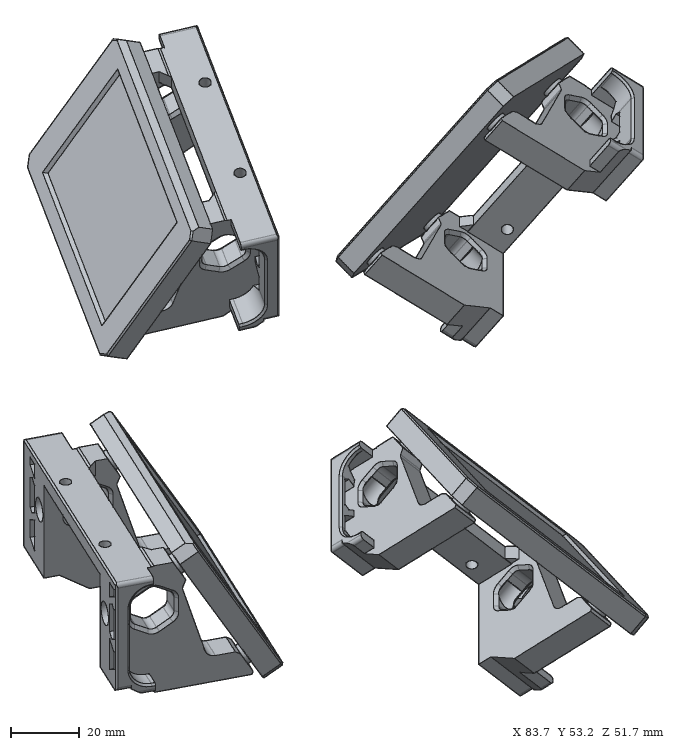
import cadquery as cq
import math

TILT = 30.0

CASE_WIDTH = 79.4
CASE_HEIGHT = 56.9
CASE_DEPTH = 7.1
CASE_BACK_Y = -47.3
CASE_TOP_Z = 51.7
CORNER_CHAMFER = 3.0
RIM_CHAMFER = 0.5

WINDOW_CENTER_X = 0.2
WINDOW_WIDTH = 60.2
WINDOW_HEIGHT = 45.7
WINDOW_BOTTOM = 5.7
WINDOW_BEVEL = 1.0
SCREEN_THICKNESS = 2.0

SPACER_DIAMETER = 6.5
SPACER_THICKNESS = 1.3
SPACER_EDGE_DISTANCE = 7.95

BRACKET_WIDTH = 83.7
BRACKET_TOP = 45.2
BACK_CHAMFER = 0.6
PLATE_DEPTH = 12.9
PLATE_THICKNESS = 5.0

SCREW_DIAMETER = 3.5
SCREW_Y = -4.1
SCREW_SPACING = 35.5

LEGS_CENTER_X = -2.3
LEGS_WIDTH = 67.6
LEG_THICKNESS = 8.5
LEG_TOP = 45.4
LEG_RAMP_LENGTH = 0.75
LEG_BOTTOM = 1.6
LEG_SLOPE_START_Y = -14.05
LEG_BACK_BOTTOM = 8.1
LEG_SLOPE_END_Y = -4.8
LEG_TOP_FRONT_Y = -19.5
LEG_BOTTOM_FRONT_Y = -43.85
LEG_FOOT_TOP = 10.5
LEG_FOOT_CHAMFER_Y = -38.7
LEG_WAIST_HIGH = (-22.4, 35.9)
LEG_WAIST_LOW = (-30.1, LEG_FOOT_TOP)
WAIST_HIGH_ROUND = 1.25
WAIST_LOW_ROUND = 3.35
PAD_HALF_LENGTH = 3.7
PAD_EXTRA = 0.5
GUSSET_SIZE = 2.9

HEX_Y = -13.55
HEX_Z = 30.3
HEX_FLATS = 13.3
HEX_ROUND = 2.5
HEX_CHAMFER = 1.1

FLANGE_EDGE_ROUND = 1.25
UPPER_TAB_FRONT_Y = -11.6
UPPER_TAB_THICKNESS = 2.8
LOWER_TAB_FRONT_Y = -12.2
LOWER_TAB_BOTTOM = 5.5
LOWER_TAB_THICKNESS = 2.9
FLANGE_WALL = 4.35
RECESS_ROUND = 6.7
RECESS_CHAMFER = 0.7

CELL_FLATS = 10.55
CELL_ROW_RISE = 12.55
CELL_STAGGER = 3.6
FRAME_WALL = 1.8

ACCESS_DIAMETER = 6.5
ACCESS_LENGTH = 20.1

SIN_TILT = math.sin(math.radians(TILT))
COS_TILT = math.cos(math.radians(TILT))
COS_30 = math.cos(math.radians(30))
RECESS_TOP = BRACKET_TOP - UPPER_TAB_THICKNESS
RECESS_BOTTOM = LOWER_TAB_BOTTOM + LOWER_TAB_THICKNESS
LEG_LEFT_X = LEGS_CENTER_X - LEGS_WIDTH / 2


def case_plane():
    """Plane on the back of the case: origin at its lower edge, normal pointing out of the screen."""
    return cq.Plane(
        origin=(0, CASE_BACK_Y, 0),
        xDir=(1, 0, 0),
        normal=(0, -COS_TILT, SIN_TILT),
    )


def tilted_point(height, outward):
    """(Y, Z) of a point given by its height along the case and its distance outward of its back."""
    y = CASE_BACK_Y + height * SIN_TILT - outward * COS_TILT
    z = height * COS_TILT + outward * SIN_TILT
    return y, z


def box_between(x_range, y_range, z_range):
    """Box given by its limits along X, Y and Z."""
    size = [limits[1] - limits[0] for limits in (x_range, y_range, z_range)]
    corner = (x_range[0], y_range[0], z_range[0])
    return cq.Workplane("XY").box(*size, centered=False).translate(corner)


def side_profile(points, x_start, x_length):
    """Closed (Y, Z) outline extruded along +X from x_start."""
    return cq.Workplane("YZ").workplane(offset=x_start).polyline(points).close().extrude(x_length)


def on_both_legs(shape):
    """Shape at the left leg together with its mirror image at the right leg."""
    return shape.union(shape.mirror("YZ", (LEGS_CENTER_X, 0, 0)))



SCREEN_WIDTH = WINDOW_WIDTH - 2 * WINDOW_BEVEL
SCREEN_HEIGHT = WINDOW_HEIGHT - 2 * WINDOW_BEVEL
WINDOW_CENTER_V = WINDOW_BOTTOM + WINDOW_HEIGHT / 2


def make_screen():
    back = CASE_DEPTH - WINDOW_BEVEL - SCREEN_THICKNESS
    return (
        cq.Workplane(case_plane())
        .workplane(offset=back)
        .center(WINDOW_CENTER_X, WINDOW_CENTER_V)
        .rect(SCREEN_WIDTH, SCREEN_HEIGHT)
        .extrude(SCREEN_THICKNESS)
    )


def make_case(screen):
    case = (
        cq.Workplane(case_plane())
        .center(0, CASE_HEIGHT / 2)
        .rect(CASE_WIDTH, CASE_HEIGHT)
        .extrude(CASE_DEPTH)
        .edges(cq.selectors.ParallelDirSelector(case_plane().zDir))
        .chamfer(CORNER_CHAMFER)
        .faces(cq.selectors.DirectionMinMaxSelector(case_plane().zDir))
        .edges()
        .chamfer(RIM_CHAMFER)
    )
    above_top = box_between(
        (-CASE_WIDTH, CASE_WIDTH), (-CASE_HEIGHT, 0), (CASE_TOP_Z, CASE_TOP_Z + CASE_DEPTH)
    )
    window = (
        cq.Workplane(case_plane())
        .workplane(offset=CASE_DEPTH)
        .center(WINDOW_CENTER_X, WINDOW_CENTER_V)
        .rect(WINDOW_WIDTH, WINDOW_HEIGHT)
        .workplane(offset=-WINDOW_BEVEL)
        .rect(SCREEN_WIDTH, SCREEN_HEIGHT)
        .loft()
    )
    return case.cut(above_top).cut(window).cut(screen)



LEG_MIDDLE_X = LEG_LEFT_X + LEG_THICKNESS / 2
SPACER_XS = (LEG_MIDDLE_X, 2 * LEGS_CENTER_X - LEG_MIDDLE_X)
SPACER_HEIGHTS = (SPACER_EDGE_DISTANCE, CASE_HEIGHT - SPACER_EDGE_DISTANCE)


def make_spacer(x, height):
    return (
        cq.Workplane(case_plane())
        .center(x, height)
        .circle(SPACER_DIAMETER / 2)
        .extrude(-SPACER_THICKNESS)
    )




def make_leg():
    """Left leg: an upright plate with two pads parallel to the back of the case."""
    lower_pad, upper_pad = SPACER_HEIGHTS
    face = -SPACER_THICKNESS
    upper_pad_top = tilted_point(upper_pad + PAD_HALF_LENGTH, face)
    upper_pad_bottom = tilted_point(upper_pad - PAD_HALF_LENGTH, face)
    lower_pad_top = tilted_point(lower_pad + PAD_HALF_LENGTH, face)
    lower_pad_bottom = tilted_point(lower_pad - PAD_HALF_LENGTH - PAD_EXTRA, face)
    outline = [
        (0, BRACKET_TOP),
        (-PLATE_DEPTH, BRACKET_TOP),
        (-PLATE_DEPTH - LEG_RAMP_LENGTH, LEG_TOP),
        (LEG_TOP_FRONT_Y, LEG_TOP),
        upper_pad_top,
        upper_pad_bottom,
        LEG_WAIST_HIGH,
        LEG_WAIST_LOW,
        (LEG_FOOT_CHAMFER_Y, LEG_FOOT_TOP),
        lower_pad_top,
        lower_pad_bottom,
        (LEG_BOTTOM_FRONT_Y, LEG_BOTTOM),
        (LEG_SLOPE_START_Y, LEG_BOTTOM),
        (LEG_SLOPE_END_Y, LEG_BACK_BOTTOM),
        (0, LEG_BACK_BOTTOM),
    ]
    leg = side_profile(outline, LEG_LEFT_X, LEG_THICKNESS)
    leg = leg.edges(cq.NearestToPointSelector((LEG_MIDDLE_X, *LEG_WAIST_LOW))).fillet(WAIST_LOW_ROUND)
    leg = leg.edges(cq.NearestToPointSelector((LEG_MIDDLE_X, *LEG_WAIST_HIGH))).fillet(WAIST_HIGH_ROUND)
    wide_leg = side_profile(outline, LEG_LEFT_X, LEG_THICKNESS + GUSSET_SIZE)
    gusset = make_gusset().intersect(wide_leg)
    return cut_hex_opening(leg).cut(make_access_hole(upper_pad)).union(gusset)


def upright_hexagon(plane, flats):
    """Workplane holding a hexagon with a corner at the top, centred on the plane."""
    return plane.transformed(rotate=(0, 0, 90)).polygon(6, flats / COS_30)


def cut_hex_opening(leg):
    """Cut a hexagonal passage with rounded corners and chamfer its mouth on both sides."""
    center = cq.Workplane("YZ", origin=(LEG_LEFT_X, HEX_Y, HEX_Z))
    opening = upright_hexagon(center, HEX_FLATS).extrude(LEG_THICKNESS).edges("|X").fillet(HEX_ROUND)
    reach = HEX_FLATS / 2 + HEX_CHAMFER
    around_opening = cq.selectors.BoxSelector(
        (-BRACKET_WIDTH, HEX_Y - reach, HEX_Z - reach), (0, HEX_Y + reach, HEX_Z + reach)
    )
    return leg.cut(opening).faces("|X").edges(around_opening).chamfer(HEX_CHAMFER)


def make_access_hole(pad_height):
    """Cylinder square to the case, from inside the hexagonal opening out through the back."""
    hex_center_depth = (HEX_Y - CASE_BACK_Y) * COS_TILT - HEX_Z * SIN_TILT
    return (
        cq.Workplane(case_plane())
        .workplane(offset=-hex_center_depth)
        .center(LEG_MIDDLE_X, pad_height)
        .circle(ACCESS_DIAMETER / 2)
        .extrude(-ACCESS_LENGTH)
    )


def make_gusset():
    """Triangular web in the corner between the inner face of the leg and the front of the plate."""
    inner_x = LEG_LEFT_X + LEG_THICKNESS
    return (
        cq.Workplane("XY")
        .workplane(offset=LEG_TOP - PLATE_THICKNESS)
        .polyline(
            [
                (inner_x, -PLATE_DEPTH),
                (inner_x + GUSSET_SIZE, -PLATE_DEPTH),
                (inner_x, -PLATE_DEPTH - GUSSET_SIZE),
            ]
        )
        .close()
        .extrude(PLATE_THICKNESS)
    )


def make_flange(width):
    """Left C-shaped flange whose inner side lies against the outer face of the left leg."""
    outer_x = LEG_LEFT_X - width
    x_range = (outer_x, LEG_LEFT_X)
    wall = box_between(x_range, (UPPER_TAB_FRONT_Y, 0), (LEG_BACK_BOTTOM, BRACKET_TOP))
    wall = wall.edges("|Y and <X").fillet(FLANGE_EDGE_ROUND)
    lower_tab = box_between(
        x_range,
        (LOWER_TAB_FRONT_Y, LEG_SLOPE_END_Y),
        (LOWER_TAB_BOTTOM, LEG_BACK_BOTTOM + FLANGE_EDGE_ROUND),
    )
    lower_tab = lower_tab.edges("|Y and <X and <Z").fillet(FLANGE_EDGE_ROUND)
    below_slope = side_profile(
        [
            (LEG_SLOPE_END_Y, LEG_BACK_BOTTOM),
            (LEG_SLOPE_START_Y, LEG_BOTTOM),
            (LEG_SLOPE_END_Y, LEG_BOTTOM),
        ],
        outer_x,
        width,
    )
    end_bevel = (
        cq.Workplane("XY")
        .polyline([(outer_x, 0), (outer_x + BACK_CHAMFER, 0), (outer_x, -BACK_CHAMFER)])
        .close()
        .extrude(BRACKET_TOP)
    )
    flange = wall.union(lower_tab).cut(make_recess(outer_x, width))
    return flange.cut(below_slope).cut(end_bevel).cut(make_honeycomb())


def make_recess(outer_x, width):
    """Open-fronted recess with round back corners and a chamfered outer rim."""
    front_y = 2 * LOWER_TAB_FRONT_Y
    middle = ((front_y - FLANGE_WALL) / 2, (RECESS_BOTTOM + RECESS_TOP) / 2)
    size = (-FLANGE_WALL - front_y, RECESS_TOP - RECESS_BOTTOM)

    def rounded_prism(length, growth, taper):
        outline = cq.Sketch().rect(size[0] + 2 * growth, size[1] + 2 * growth)
        outline = outline.vertices().fillet(RECESS_ROUND + growth)
        start = cq.Workplane("YZ", origin=(outer_x, *middle))
        return start.placeSketch(outline).extrude(length, taper=taper)

    return rounded_prism(width, 0, 0).union(rounded_prism(RECESS_CHAMFER, RECESS_CHAMFER, 45))


def make_honeycomb():
    """Hexagonal cells through the back wall of the flange, trimmed to the strip beside the leg."""
    strip_x = (-BRACKET_WIDTH / 2 + FRAME_WALL, LEG_LEFT_X)
    strip = box_between(strip_x, (LOWER_TAB_FRONT_Y, 0), (RECESS_BOTTOM, RECESS_TOP))
    inner_row_x = strip_x[0] + CELL_FLATS / 2
    centers = [
        (inner_row_x, HEX_Z - CELL_ROW_RISE),
        (inner_row_x - CELL_STAGGER, HEX_Z),
        (inner_row_x, HEX_Z + CELL_ROW_RISE),
    ]
    cells = cq.Workplane("XY")
    for x, z in centers:
        center = cq.Workplane("XZ", origin=(x, 0, z))
        cells = cells.add(upright_hexagon(center, CELL_FLATS).extrude(-LOWER_TAB_FRONT_Y))
    return cells.combine().intersect(strip)


def make_bracket():
    plate = box_between(
        (LEG_LEFT_X, LEG_LEFT_X + LEGS_WIDTH),
        (-PLATE_DEPTH, 0),
        (BRACKET_TOP - PLATE_THICKNESS, BRACKET_TOP),
    )
    left_flange_width = BRACKET_WIDTH / 2 + LEG_LEFT_X
    right_flange_width = BRACKET_WIDTH - LEGS_WIDTH - left_flange_width
    left_flange = make_flange(left_flange_width)
    right_flange = make_flange(right_flange_width).mirror("YZ", (LEGS_CENTER_X, 0, 0))
    top_bevel = side_profile(
        [(0, BRACKET_TOP), (-BACK_CHAMFER, BRACKET_TOP), (0, BRACKET_TOP - BACK_CHAMFER)],
        -BRACKET_WIDTH / 2,
        BRACKET_WIDTH,
    )
    screw_holes = (
        cq.Workplane("XY")
        .center(LEGS_CENTER_X, SCREW_Y)
        .rarray(SCREW_SPACING, 0.8, 2, 1)
        .circle(SCREW_DIAMETER / 2)
        .extrude(BRACKET_TOP)
    )
    bracket = plate.union(on_both_legs(make_leg())).union(left_flange).union(right_flange)
    return bracket.cut(top_bevel).cut(screw_holes)



screen = make_screen()
case = make_case(screen)
bracket = make_bracket()
spacers = [make_spacer(x, height) for x in SPACER_XS for height in SPACER_HEIGHTS]

result = cq.Compound.makeCompound(
    [bracket.val(), case.val(), screen.val(), *[spacer.val() for spacer in spacers]]
)